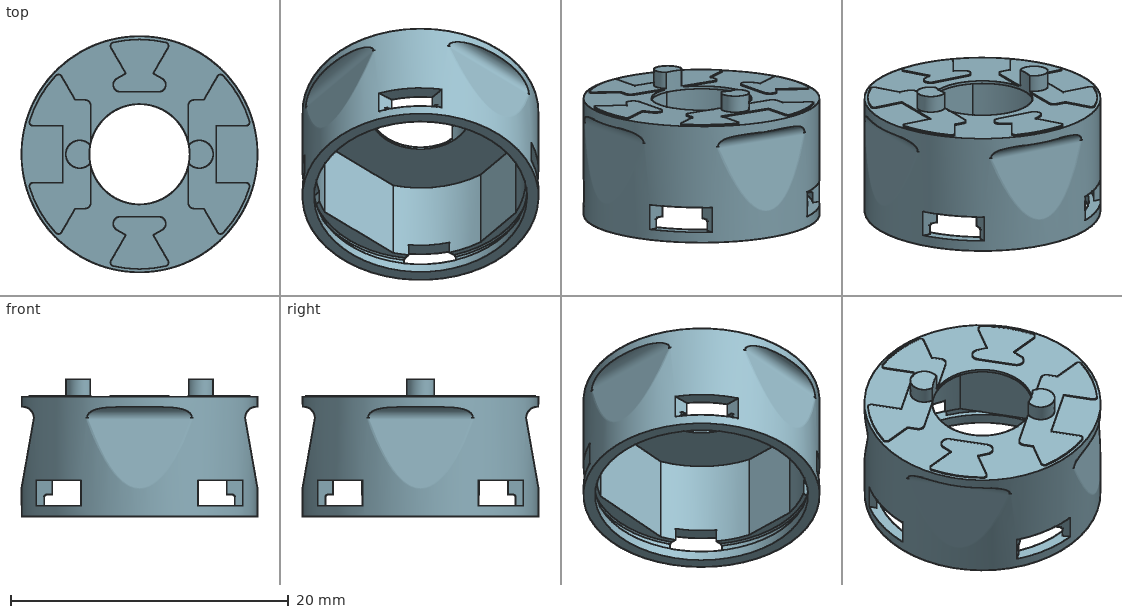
import cadquery as cq
import math

OUTER_RADIUS = 8.5
BODY_HEIGHT = 8.62
TOTAL_HEIGHT = 9.9
PAD_HEIGHT = 0.08
PLATE_THICKNESS = 0.2
PLATE_HOLE_RADIUS = 3.6

BORE_RADIUS = 7.56
ENTRY_RADIUS = 7.67
BORE_HALF_X = 7.31
BORE_HALF_Y = 6.85
GROOVE_RADIUS = 8.02
GROOVE_BOTTOM = 0.78
GROOVE_TOP = 1.58
GROOVE_CHAMFER = 0.12

WINDOW_BOTTOM = GROOVE_BOTTOM
WINDOW_TOP = 2.6
WINDOW_INSET_X = 4.22
WINDOW_INSET_Y = 4.23
WINDOW_TAPER_START = 6.27
WINDOW_TAPER = math.radians(4.4)

RECESS_ROOF = 7.89
RECESS_ROUND = 0.78
RECESS_DEPTH = 0.88
RECESS_SLOPE = math.radians(10)
RECESS_EDGE_FILLET = 0.34

PAD_RADIUS = 8.26
NECK_HALF_WIDTH = 0.99
NECK_DISTANCE = 5.81
FLARE_ANGLE = math.radians(30)
HEAD_FILLET = 0.25
FOOT_DISTANCE = 4.49
FOOT_FILLET = 0.51
HEAD_SPACING = 60
BAR_INNER_X = 3.5
BAR_HALF_LENGTH = 3.91
BAR_FILLET = 0.42

PIN_RADIUS = 1.0
PIN_OFFSET = 4.3

CLEARANCE = 1.7
PAD_TOP = BODY_HEIGHT + PAD_HEIGHT
REACH = OUTER_RADIUS + CLEARANCE


def disc(radius, bottom, top):
    return cq.Workplane("XY").workplane(offset=bottom).circle(radius).extrude(top - bottom)


def turned(shape, angle):
    return shape.rotate((0, 0, 0), (0, 0, 1), angle)


def recess_cutter():
    """Wedge removed from the -Y side, running the full width along X."""
    wall = OUTER_RADIUS - RECESS_DEPTH
    center_r = wall + RECESS_ROUND
    center_z = RECESS_ROOF - RECESS_ROUND
    floor_r = center_r - RECESS_ROUND * math.cos(RECESS_SLOPE)
    floor_z = center_z - RECESS_ROUND * math.sin(RECESS_SLOPE)
    mid_angle = (math.pi / 2 + math.pi + RECESS_SLOPE) / 2
    mid_r = center_r + RECESS_ROUND * math.cos(mid_angle)
    mid_z = center_z + RECESS_ROUND * math.sin(mid_angle)
    toe_z = floor_z - (REACH - floor_r) / math.tan(RECESS_SLOPE)
    return (
        cq.Workplane("YZ")
        .moveTo(-REACH, RECESS_ROOF)
        .lineTo(-center_r, RECESS_ROOF)
        .threePointArc((-mid_r, mid_z), (-floor_r, floor_z))
        .lineTo(-REACH, toe_z)
        .close()
        .extrude(OUTER_RADIUS, both=True)
    )


def is_floor_rim(edge):
    """True for the curved edge between a sloping recess floor and the outer wall."""
    return edge.geomType() == "ELLIPSE"


def make_shell():
    shell = disc(OUTER_RADIUS, 0, BODY_HEIGHT)
    for side in range(4):
        shell = shell.cut(turned(recess_cutter(), 90 * side))
    rims = [edge for edge in shell.edges().vals() if is_floor_rim(edge)]
    rounded = shell.newObject(rims).fillet(RECESS_EDGE_FILLET)
    sharp_top = shell.intersect(disc(REACH, RECESS_ROOF - RECESS_ROUND, BODY_HEIGHT))
    return rounded.union(sharp_top)


def make_cavity():
    ceiling = BODY_HEIGHT - PLATE_THICKNESS
    flats = cq.Workplane("XY").box(2 * BORE_HALF_X, 2 * BORE_HALF_Y, ceiling, centered=(True, True, False))
    bore = disc(BORE_RADIUS, 0, ceiling).intersect(flats)
    groove = disc(GROOVE_RADIUS, GROOVE_BOTTOM, GROOVE_TOP).faces(">Z").chamfer(GROOVE_CHAMFER)
    entry = disc(ENTRY_RADIUS, 0, GROOVE_BOTTOM)
    return bore.union(groove).union(entry)


def make_window():
    """Cutter for the window in the +X +Y quarter."""
    outer_inset_y = WINDOW_INSET_Y - (REACH - WINDOW_TAPER_START) * math.tan(WINDOW_TAPER)
    return (
        cq.Workplane("XY")
        .workplane(offset=WINDOW_BOTTOM)
        .moveTo(WINDOW_INSET_X, WINDOW_INSET_Y)
        .lineTo(WINDOW_TAPER_START, WINDOW_INSET_Y)
        .lineTo(REACH, outer_inset_y)
        .lineTo(REACH, REACH)
        .lineTo(WINDOW_INSET_X, REACH)
        .close()
        .extrude(WINDOW_TOP - WINDOW_BOTTOM)
    )


def pad_head():
    """Fan that widens from the neck to the pad circle, on the +Y side."""
    flare = (REACH - NECK_DISTANCE) * math.tan(FLARE_ANGLE)
    fan = (
        cq.Workplane("XY")
        .workplane(offset=BODY_HEIGHT)
        .moveTo(-NECK_HALF_WIDTH, NECK_DISTANCE)
        .lineTo(NECK_HALF_WIDTH, NECK_DISTANCE)
        .lineTo(NECK_HALF_WIDTH + flare, REACH)
        .lineTo(-NECK_HALF_WIDTH - flare, REACH)
        .close()
        .extrude(PAD_HEIGHT)
        .intersect(disc(PAD_RADIUS, BODY_HEIGHT, PAD_TOP))
    )
    return fan.edges("|Z and >X").fillet(HEAD_FILLET).edges("|Z and <X").fillet(HEAD_FILLET)


def dovetail_pad():
    """Fan with a rounded foot, on the +Y side."""
    foot_half = NECK_HALF_WIDTH + (NECK_DISTANCE - FOOT_DISTANCE) / math.tan(FLARE_ANGLE)
    foot = (
        cq.Workplane("XY")
        .workplane(offset=BODY_HEIGHT)
        .moveTo(-foot_half, FOOT_DISTANCE)
        .lineTo(foot_half, FOOT_DISTANCE)
        .lineTo(NECK_HALF_WIDTH, NECK_DISTANCE)
        .lineTo(-NECK_HALF_WIDTH, NECK_DISTANCE)
        .close()
        .extrude(PAD_HEIGHT)
        .edges("|Z and (>X or <X)")
        .fillet(FOOT_FILLET)
    )
    return foot.union(pad_head())


def bridge_pad():
    """Two fans joined by a straight bar, on the +X side."""
    spacing = math.radians(HEAD_SPACING)
    bar_outer_x = NECK_HALF_WIDTH * math.cos(spacing) + NECK_DISTANCE * math.sin(spacing)
    pad = (
        cq.Workplane("XY")
        .workplane(offset=BODY_HEIGHT)
        .center((BAR_INNER_X + bar_outer_x) / 2, 0)
        .rect(bar_outer_x - BAR_INNER_X, 2 * BAR_HALF_LENGTH)
        .extrude(PAD_HEIGHT)
        .edges("|Z and <X")
        .fillet(BAR_FILLET)
    )
    for angle in (-HEAD_SPACING, HEAD_SPACING - 180):
        pad = pad.union(turned(pad_head(), angle))
    return pad


result = make_shell().cut(make_cavity())

window_pair = make_window().union(make_window().mirror("YZ"))
result = result.cut(window_pair).cut(window_pair.mirror("XZ"))

for turn in (0, 180):
    pin = disc(PIN_RADIUS, BODY_HEIGHT, TOTAL_HEIGHT).translate((PIN_OFFSET, 0, 0))
    for raised in (dovetail_pad(), bridge_pad(), pin):
        result = result.union(turned(raised, turn))

result = result.cut(disc(PLATE_HOLE_RADIUS, BODY_HEIGHT - PLATE_THICKNESS, TOTAL_HEIGHT))